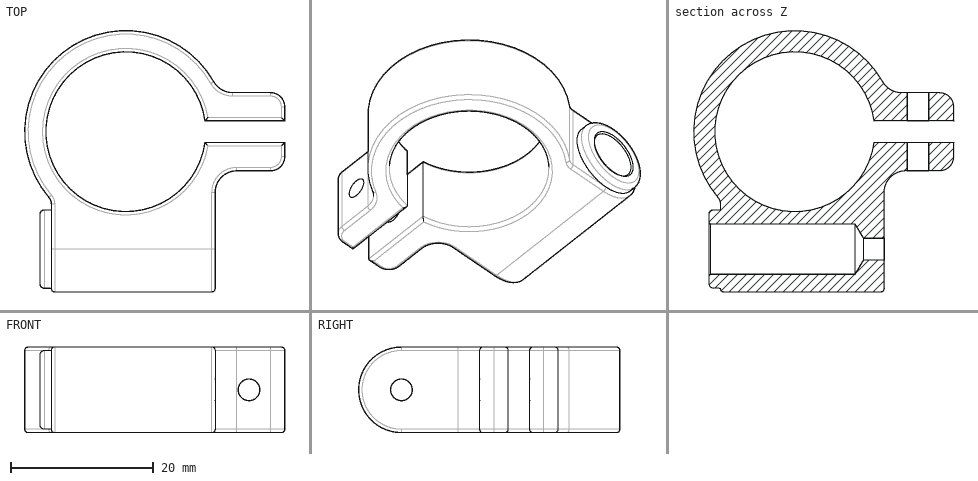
import cadquery as cq
import math

height = 12.0
ring_radius = 14.15
bore_radius = 11.15

slot_width = 3.0
lug_thickness = 4.0
lug_end_x = 22.25
lug_corner_radius = 2.0
lug_root_radius = 3.0
screw_diameter = 3.0
screw_x = 17.23
lug_outer_y = slot_width / 2 + lug_thickness

barrel_start_x = -10.43
barrel_end_x = 12.5
barrel_radius = height / 2
barrel_y = -16.42
barrel_root_radius = 1.5
barrel_length = barrel_end_x - barrel_start_x

collar_diameter = 11.0
collar_length = 1.6
collar_edge_radius = 0.7
socket_diameter = 7.0
socket_chamfer = 0.22
socket_end_x = 8.4
socket_tip_angle = 118
collar_start_x = barrel_start_x - collar_length

edge_radius = barrel_radius - collar_diameter / 2


def block(x_start, x_end, y_start, y_end):
    """Full-height box between the given X and Y limits."""
    return (
        cq.Workplane("XY")
        .box(x_end - x_start, y_end - y_start, height, centered=(False, False, True))
        .translate((x_start, y_start, 0))
    )


def fillet_upright_edge(body, x, y, radius):
    """Round the Z-parallel edge that stands at (x, y)."""
    return body.edges(cq.selectors.NearestToPointSelector((x, y, 0))).fillet(radius)


def cylinder_along_x(x_start, length, diameter):
    """Cylinder on the barrel axis."""
    return (
        cq.Workplane("YZ", origin=(x_start, barrel_y, 0))
        .circle(diameter / 2)
        .extrude(length)
    )


def make_lower_lug_root():
    """Concave corner between the lower lug and the +X wall, covering the ring there."""
    centre_x = barrel_end_x + lug_root_radius
    centre_y = -lug_outer_y - lug_root_radius
    corner = block(barrel_end_x, centre_x, centre_y, -lug_outer_y)
    hollow = (
        cq.Workplane("XY")
        .center(centre_x, centre_y)
        .circle(lug_root_radius)
        .extrude(height / 2, both=True)
    )
    return corner.cut(hollow)


def make_outer_body():
    """Ring, lug block and barrel block, with their upright corners rounded."""
    body = cq.Workplane("XY").circle(ring_radius).extrude(height / 2, both=True)
    body = body.union(block(0, lug_end_x, -lug_outer_y, lug_outer_y))
    body = body.union(block(barrel_start_x, barrel_end_x, barrel_y, 0))

    upper_root_x = math.sqrt(ring_radius**2 - lug_outer_y**2)
    barrel_root_y = -math.sqrt(ring_radius**2 - barrel_start_x**2)
    body = fillet_upright_edge(body, upper_root_x, lug_outer_y, lug_root_radius)
    body = fillet_upright_edge(body, barrel_start_x, barrel_root_y, barrel_root_radius)
    for y in (lug_outer_y, -lug_outer_y):
        body = fillet_upright_edge(body, lug_end_x, y, lug_corner_radius)

    body = body.union(make_lower_lug_root())
    return body.union(cylinder_along_x(barrel_start_x, barrel_length, 2 * barrel_radius)).clean()


def cut_bore_and_slot(body):
    """Open the ring bore and split the lugs."""
    bore = cq.Workplane("XY").circle(bore_radius).extrude(height / 2, both=True)
    slot = block(0, lug_end_x, -slot_width / 2, slot_width / 2)
    return body.cut(bore).cut(slot)


def round_outer_edges(body):
    """Round the edges of the flat faces and the half-round ends of the barrel."""
    flat_rims = body.faces("|Z").edges().vals()
    barrel_ends = body.faces("|X").edges("%CIRCLE").vals()
    rims = []
    for edge in flat_rims + barrel_ends:
        is_tangent_line = abs(edge.Center().y - barrel_y) < edge_radius and edge.geomType() == "LINE"
        if not is_tangent_line:
            rims.append(edge)
    return body.newObject(rims).fillet(edge_radius)


def add_collar(body):
    collar = cylinder_along_x(collar_start_x, collar_length, collar_diameter)
    collar = collar.faces("<X").edges().fillet(collar_edge_radius)
    return body.union(collar)


def cut_barrel_hole(body):
    """Chamfered socket from the collar, narrowing in a cone to a through hole."""
    socket_radius = socket_diameter / 2
    screw_radius = screw_diameter / 2
    cone_length = (socket_radius - screw_radius) / math.tan(math.radians(socket_tip_angle / 2))
    hole = (
        cq.Workplane("XY")
        .moveTo(collar_start_x, 0)
        .lineTo(collar_start_x, socket_radius + socket_chamfer)
        .lineTo(collar_start_x + socket_chamfer, socket_radius)
        .lineTo(socket_end_x, socket_radius)
        .lineTo(socket_end_x + cone_length, screw_radius)
        .lineTo(barrel_end_x, screw_radius)
        .lineTo(barrel_end_x, 0)
        .close()
        .revolve(360, (0, 0, 0), (1, 0, 0))
        .translate((0, barrel_y, 0))
    )
    return body.cut(hole)


def drill_lugs(body):
    drill = (
        cq.Workplane("XZ", origin=(screw_x, 0, 0))
        .circle(screw_diameter / 2)
        .extrude(lug_outer_y, both=True)
    )
    return body.cut(drill)


result = make_outer_body()
result = cut_bore_and_slot(result)
result = round_outer_edges(result)
result = add_collar(result)
result = cut_barrel_hole(result)
result = drill_lugs(result)